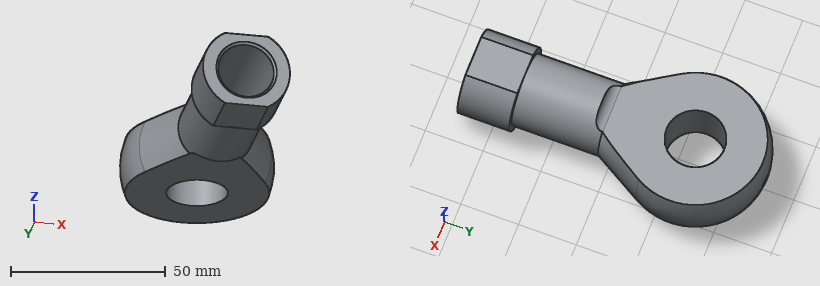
import cadquery as cq
import math

ball_radius = 25.0
head_thickness = 18.0
eye_diameter = 20.0

shank_radius = 24.8 / 2
end_distance = 77.0
collar_diameter = 28.8
collar_length = 18.0
width_across_flats = 25.0

neck_distance = 29.0
flat_blend_radius = shank_radius - head_thickness / 2

bore_diameter = 18.38
bore_mouth_diameter = 20.0
bore_depth = 40.0

neck_corner_reach = math.hypot(neck_distance, shank_radius)
cone_half_angle = math.asin(ball_radius / neck_corner_reach) - math.atan2(shank_radius, neck_distance)
tangent_radius = ball_radius * math.cos(cone_half_angle)
tangent_y = -ball_radius * math.sin(cone_half_angle)


def turned_body():
    """Ball, tangent cone and shank revolved about the Y axis."""
    profile = (
        cq.Workplane("XY")
        .moveTo(0, ball_radius)
        .threePointArc((ball_radius, 0), (tangent_radius, tangent_y))
        .lineTo(shank_radius, -neck_distance)
        .lineTo(shank_radius, -end_distance)
        .lineTo(0, -end_distance)
        .close()
    )
    return profile.revolve(360, (0, 0, 0), (0, 1, 0))


def wrench_collar():
    """Round collar with two parallel flats facing up and down."""
    middle_y = collar_length / 2 - end_distance
    collar = (
        cq.Workplane("XZ", origin=(0, -end_distance, 0))
        .circle(collar_diameter / 2)
        .extrude(-collar_length)
    )
    flats = cq.Workplane("XY", origin=(0, middle_y, 0)).box(
        collar_diameter, collar_length, width_across_flats
    )
    return collar.intersect(flats)


def head_flat_cutter(side):
    """Block that cuts one head flat; side is +1 for the top, -1 for the bottom."""
    flat_z = side * head_thickness / 2
    blend_z = flat_z + side * flat_blend_radius
    blend_end_y = -neck_distance - flat_blend_radius
    diagonal = flat_blend_radius * math.sqrt(0.5)
    return (
        cq.Workplane("YZ", origin=(-ball_radius, 0, 0))
        .moveTo(ball_radius, flat_z)
        .lineTo(-neck_distance, flat_z)
        .threePointArc(
            (-neck_distance - diagonal, blend_z - side * diagonal),
            (blend_end_y, blend_z),
        )
        .lineTo(blend_end_y, side * ball_radius)
        .lineTo(ball_radius, side * ball_radius)
        .close()
        .extrude(2 * ball_radius)
    )


def eye_hole():
    """Through hole across the head flats."""
    return cq.Workplane("XY").circle(eye_diameter / 2).extrude(head_thickness, both=True)


def end_bore():
    """Blind bore along Y with a 45 degree chamfer at its mouth."""
    bore_radius = bore_diameter / 2
    mouth_radius = bore_mouth_diameter / 2
    chamfer_end_y = mouth_radius - bore_radius - end_distance
    bottom_y = bore_depth - end_distance
    profile = cq.Workplane("XY").polyline(
        [
            (0, -end_distance),
            (mouth_radius, -end_distance),
            (bore_radius, chamfer_end_y),
            (bore_radius, bottom_y),
            (0, bottom_y),
        ]
    )
    return profile.close().revolve(360, (0, 0, 0), (0, 1, 0))


result = turned_body().union(wrench_collar())
for side in (1, -1):
    result = result.cut(head_flat_cutter(side))
result = result.cut(eye_hole()).cut(end_bore())